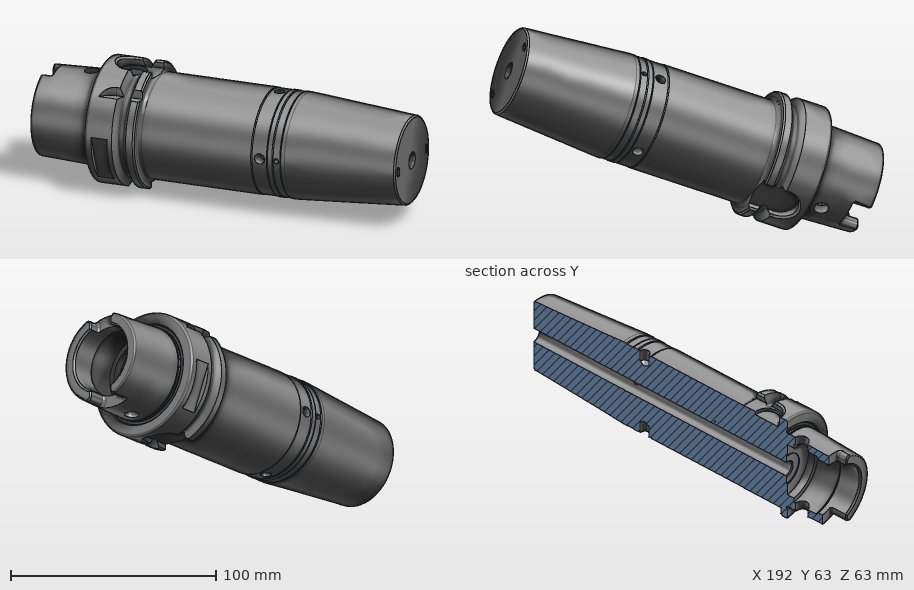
import cadquery as cq
import math


SHANK_LENGTH = 32.0
SHANK_TIP_RADIUS = 22.65
SHANK_BASE_RADIUS = 23.85
SHANK_TIP_FILLET = 0.8
RELIEF_WIDTH = 1.8
RELIEF_DEPTH = 0.4
RELIEF_BEVEL = 0.6

FLANGE_RADIUS = 31.5
FLANGE_WIDTH = 26.0
FLANGE_CHAMFER = 0.8
FACE_FILLET = 1.0
FACE_GROOVE_RADIUS = 25.8
FACE_GROOVE_DEPTH = 0.6
GROOVE_CENTRE = 18.0
GROOVE_FLOOR_RADIUS = 27.5
GROOVE_FLOOR_HALF_WIDTH = 1.4
GROOVE_WALL_ANGLE = 30.0
GROOVE_CORNER_RADIUS = 0.6

BODY_RADIUS = 26.5
BODY_FILLET = 2.0
FLANGE_END = FLANGE_WIDTH + BODY_FILLET
NOSE_START = 103.2
NOSE_RADIUS = 22.2
NOSE_CHAMFER = 0.8
TOTAL_END = 160.0
PAD_HEIGHT = 0.3
NOSE_END = TOTAL_END - PAD_HEIGHT
BANDS = ((85.5, 94.3), (96.6, 101.3))
BAND_DEPTH = 0.25
BAND_BEVEL = 0.6

MOUTH_RADIUS = 17.0
MOUTH_CHAMFER = 0.9
MOUTH_END = -19.3
CAVITY_RADIUS = 18.5
CAVITY_END = -4.0
SEAT_RADIUS = 15.9
SEAT_END = 0.0
RECESS_RADIUS = 9.0
RECESS_DEPTH = 0.5
BORE_RADIUS = 4.2
BORE_CHAMFER = 0.6

DRIVE_HALF_WIDTH = 6.25
DRIVE_ROUND_START = 18.4
DRIVE_ROUND_RADIUS = 2.6
DRIVE_CORNER_RADIUS = 1.2
DRIVE_MOUTH_CHAMFER = 0.7
TOP_DRIVE_DEPTH = 6.0
BOTTOM_DRIVE_DEPTH = 10.0

KEYWAY_FLOOR = 26.65
KEYWAY_CENTRE_X = 13.1
KEYWAY_CHAMFER = 1.1
TOP_KEYWAY_RADIUS = 7.9
BOTTOM_KEYWAY_RADIUS = 8.7
POCKET_RADIUS = 6.9
POCKET_DEPTH = 2.0

NOTCH_FLOOR = 20.0
NOTCH_CUTTER_RADIUS = 9.0
NOTCH_CENTRE_X = 12.4
FLAT_START = 3.5
FLAT_WIDTH = 8.4
FLAT_DISTANCE = 28.9
FLAT_ANGLE = 21.5

CROSS_HOLE_X = -8.8
CROSS_HOLE_RADIUS = 3.65
SCREW_HOLE_X = 90.1
SCREW_HOLE_RADIUS = 2.6
SCREW_HOLE_DEPTH = 7.0
DRILL_TIP_ANGLE = 59.0
VENT_X = 98.9
VENT_RADIUS = 1.25

PAD_OFFSET = 18.2
PAD_LENGTH = 4.6
PAD_WIDTH = 2.4

CLEARANCE = 10.0
ARC_INSET = 1 - math.sqrt(0.5)


def revolve_about_x(profile):
    return profile.close().revolve(360, (0, 0, 0), (1, 0, 0))


def turn_over(shape):
    return shape.rotate((0, 0, 0), (1, 0, 0), 180)


def shank():
    tip = -SHANK_LENGTH
    relief_radius = SHANK_BASE_RADIUS - RELIEF_DEPTH
    arc_x = tip + SHANK_TIP_FILLET * ARC_INSET
    arc_radius = SHANK_TIP_RADIUS - SHANK_TIP_FILLET * ARC_INSET
    profile = (
        cq.Workplane("XY")
        .moveTo(tip, 0)
        .lineTo(tip, SHANK_TIP_RADIUS - SHANK_TIP_FILLET)
        .threePointArc((arc_x, arc_radius), (tip + SHANK_TIP_FILLET, SHANK_TIP_RADIUS))
        .lineTo(-RELIEF_WIDTH, SHANK_BASE_RADIUS)
        .lineTo(-RELIEF_WIDTH + RELIEF_BEVEL, relief_radius)
        .lineTo(-RELIEF_BEVEL, relief_radius)
        .lineTo(0, SHANK_BASE_RADIUS)
        .lineTo(0, 0)
    )
    return revolve_about_x(profile)


def keyway(radius):
    """Round-ended keyway, open towards +X."""
    length = FLANGE_END
    plane = cq.Workplane("XY", origin=(KEYWAY_CENTRE_X, 0, KEYWAY_FLOOR))
    straight = plane.rect(length, 2 * radius).extrude(FLANGE_RADIUS).translate((length / 2, 0, 0))
    return plane.circle(radius).extrude(FLANGE_RADIUS).union(straight)


def keyway_rim(radius):
    """Selector for the long keyway edges on the flange diameter."""
    return cq.selectors.BoxSelector(
        (FACE_FILLET, -radius - 1, KEYWAY_FLOOR + 1),
        (FLANGE_END - 1, radius + 1, FLANGE_RADIUS + 1),
    )


def v_groove():
    spread = math.tan(math.radians(GROOVE_WALL_ANGLE))
    outer_radius = FLANGE_RADIUS + CLEARANCE
    outer_half_width = GROOVE_FLOOR_HALF_WIDTH + (outer_radius - GROOVE_FLOOR_RADIUS) * spread
    profile = (
        cq.Workplane("XY")
        .moveTo(GROOVE_CENTRE - GROOVE_FLOOR_HALF_WIDTH, GROOVE_FLOOR_RADIUS)
        .lineTo(GROOVE_CENTRE + GROOVE_FLOOR_HALF_WIDTH, GROOVE_FLOOR_RADIUS)
        .lineTo(GROOVE_CENTRE + outer_half_width, outer_radius)
        .lineTo(GROOVE_CENTRE - outer_half_width, outer_radius)
    )
    floor_box = cq.selectors.BoxSelector(
        (0, -GROOVE_FLOOR_RADIUS - 1, -GROOVE_FLOOR_RADIUS - 1),
        (FLANGE_WIDTH, GROOVE_FLOOR_RADIUS + 1, GROOVE_FLOOR_RADIUS + 1),
        boundingbox=True,
    )
    return revolve_about_x(profile).edges(floor_box).edges("%CIRCLE").fillet(GROOVE_CORNER_RADIUS)


def flange_back_waste():
    """Ring of stock outside the chamfered back of the flange and its fillet into the body."""
    arc_offset = BODY_FILLET * ARC_INSET
    outer_radius = FLANGE_RADIUS + CLEARANCE
    profile = (
        cq.Workplane("XY")
        .moveTo(FLANGE_WIDTH - FLANGE_CHAMFER - CLEARANCE, outer_radius)
        .lineTo(FLANGE_WIDTH, FLANGE_RADIUS - FLANGE_CHAMFER)
        .lineTo(FLANGE_WIDTH, BODY_RADIUS + BODY_FILLET)
        .threePointArc(
            (FLANGE_WIDTH + arc_offset, BODY_RADIUS + arc_offset),
            (FLANGE_END, BODY_RADIUS),
        )
        .lineTo(FLANGE_END, outer_radius)
    )
    return revolve_about_x(profile)


def half_flange(keyway_radius):
    """Upper half of the flange: its keyway is milled, then the groove and the back are turned away."""
    disc = cq.Workplane("YZ").circle(FLANGE_RADIUS).extrude(FLANGE_END)
    disc = disc.faces("<X").edges().fillet(FACE_FILLET)
    milled = disc.cut(keyway(keyway_radius)).edges(keyway_rim(keyway_radius)).chamfer(KEYWAY_CHAMFER)
    turned = milled.cut(v_groove()).cut(flange_back_waste())
    upper_space = cq.Workplane("XY").circle(2 * FLANGE_RADIUS).extrude(2 * FLANGE_RADIUS)
    return turned.intersect(upper_space)


def flange():
    lower_half = turn_over(half_flange(BOTTOM_KEYWAY_RADIUS))
    return half_flange(TOP_KEYWAY_RADIUS).union(lower_half)


def body():
    band_radius = BODY_RADIUS - BAND_DEPTH
    profile = cq.Workplane("XY").moveTo(FLANGE_END, 0).lineTo(FLANGE_END, BODY_RADIUS)
    for start, end in BANDS:
        profile = (
            profile.lineTo(start, BODY_RADIUS)
            .lineTo(start + BAND_BEVEL, band_radius)
            .lineTo(end - BAND_BEVEL, band_radius)
            .lineTo(end, BODY_RADIUS)
        )
    profile = (
        profile.lineTo(NOSE_START, BODY_RADIUS)
        .lineTo(NOSE_END - NOSE_CHAMFER, NOSE_RADIUS)
        .lineTo(NOSE_END, NOSE_RADIUS - NOSE_CHAMFER)
        .lineTo(NOSE_END, 0)
    )
    return revolve_about_x(profile)


def nose_pads():
    return (
        cq.Workplane("YZ", origin=(NOSE_END, 0, 0))
        .pushPoints([(PAD_OFFSET, 0), (-PAD_OFFSET, 0)])
        .slot2D(PAD_LENGTH, PAD_WIDTH, 90)
        .extrude(PAD_HEIGHT)
    )


def face_groove():
    """Ring groove with a sloping outer wall, cut into the flange face around the shank."""
    profile = (
        cq.Workplane("XY")
        .moveTo(0, SHANK_BASE_RADIUS)
        .lineTo(0, FACE_GROOVE_RADIUS)
        .lineTo(FACE_GROOVE_DEPTH, FACE_GROOVE_RADIUS - FACE_GROOVE_DEPTH)
        .lineTo(FACE_GROOVE_DEPTH, SHANK_BASE_RADIUS)
    )
    return revolve_about_x(profile)


def axial_bores():
    mouth = -SHANK_LENGTH
    cavity_slope = CAVITY_RADIUS - MOUTH_RADIUS
    recess_floor = SEAT_END + RECESS_DEPTH
    profile = (
        cq.Workplane("XY")
        .moveTo(mouth, 0)
        .lineTo(mouth, MOUTH_RADIUS + MOUTH_CHAMFER)
        .lineTo(mouth + MOUTH_CHAMFER, MOUTH_RADIUS)
        .lineTo(MOUTH_END, MOUTH_RADIUS)
        .lineTo(MOUTH_END + cavity_slope, CAVITY_RADIUS)
        .lineTo(CAVITY_END, CAVITY_RADIUS)
        .lineTo(CAVITY_END, SEAT_RADIUS)
        .lineTo(SEAT_END, SEAT_RADIUS)
        .lineTo(SEAT_END, RECESS_RADIUS)
        .lineTo(recess_floor, RECESS_RADIUS)
        .lineTo(recess_floor, BORE_RADIUS + BORE_CHAMFER)
        .lineTo(recess_floor + BORE_CHAMFER, BORE_RADIUS)
        .lineTo(TOTAL_END, BORE_RADIUS)
        .lineTo(TOTAL_END, 0)
    )
    return revolve_about_x(profile)


def drive_outline(x, grow):
    """Slot cross-section at x, widened by grow, its outer edges rounded over."""
    half_width = DRIVE_HALF_WIDTH + grow
    radius = DRIVE_ROUND_RADIUS - grow
    round_end = DRIVE_HALF_WIDTH + DRIVE_ROUND_RADIUS
    round_top = DRIVE_ROUND_START + radius
    middle_y = half_width + radius * ARC_INSET
    middle_z = round_top - radius * ARC_INSET
    outer_y = round_end + CLEARANCE
    outer_z = SHANK_BASE_RADIUS + CLEARANCE
    return (
        cq.Workplane("YZ", origin=(x, 0, 0))
        .moveTo(-half_width, BORE_RADIUS)
        .lineTo(half_width, BORE_RADIUS)
        .lineTo(half_width, DRIVE_ROUND_START)
        .threePointArc((middle_y, middle_z), (round_end, round_top))
        .lineTo(outer_y, round_top)
        .lineTo(outer_y, outer_z)
        .lineTo(-outer_y, outer_z)
        .lineTo(-outer_y, round_top)
        .lineTo(-round_end, round_top)
        .threePointArc((-middle_y, middle_z), (-half_width, DRIVE_ROUND_START))
        .close()
    )


def drive_slot(depth):
    mouth = -SHANK_LENGTH
    slot = drive_outline(mouth, 0).extrude(depth).faces(">X").edges().fillet(DRIVE_CORNER_RADIUS)
    wide_end = drive_outline(mouth, DRIVE_MOUTH_CHAMFER).wires().val()
    narrow_end = drive_outline(mouth + DRIVE_MOUTH_CHAMFER, 0).wires().val()
    return slot.union(cq.Workplane(cq.Solid.makeLoft([wide_end, narrow_end], True)))


def keyway_pocket():
    return (
        cq.Workplane("XY", origin=(KEYWAY_CENTRE_X, 0, KEYWAY_FLOOR - POCKET_DEPTH))
        .circle(POCKET_RADIUS)
        .extrude(FLANGE_RADIUS)
    )


def orientation_notch():
    centre_y = -NOTCH_FLOOR - NOTCH_CUTTER_RADIUS
    length = FLANGE_WIDTH + CLEARANCE - NOTCH_CENTRE_X
    plane = cq.Workplane("XY", origin=(NOTCH_CENTRE_X, centre_y, NOTCH_FLOOR))
    round_end = plane.circle(NOTCH_CUTTER_RADIUS).extrude(FLANGE_RADIUS)
    run = plane.rect(length, 2 * NOTCH_CUTTER_RADIUS).extrude(FLANGE_RADIUS)
    return round_end.union(run.translate((length / 2, 0, 0)))


def flange_flat():
    block = cq.Workplane("XY").box(FLAT_WIDTH, CLEARANCE, 2 * FLANGE_RADIUS, centered=(False, False, True))
    block = block.translate((FLAT_START, -FLAT_DISTANCE - CLEARANCE, 0))
    return block.rotate((0, 0, 0), (1, 0, 0), FLAT_ANGLE)


def screw_hole(angle):
    """Blind drilled hole with a conical bottom, turned about the axis by angle."""
    floor = BODY_RADIUS - SCREW_HOLE_DEPTH
    tip = floor - SCREW_HOLE_RADIUS / math.tan(math.radians(DRILL_TIP_ANGLE))
    hole = (
        cq.Workplane("XZ")
        .moveTo(0, tip)
        .lineTo(SCREW_HOLE_RADIUS, floor)
        .lineTo(SCREW_HOLE_RADIUS, FLANGE_RADIUS)
        .lineTo(0, FLANGE_RADIUS)
        .close()
        .revolve(360, (0, 0, 0), (0, 1, 0))
        .translate((SCREW_HOLE_X, 0, 0))
    )
    return hole.rotate((0, 0, 0), (1, 0, 0), angle)


def cross_hole():
    plane = cq.Workplane("XY", origin=(CROSS_HOLE_X, 0, 0))
    return plane.circle(CROSS_HOLE_RADIUS).extrude(FLANGE_RADIUS, both=True)


def vent_hole():
    plane = cq.Workplane("XZ", origin=(VENT_X, 0, 0))
    return plane.circle(VENT_RADIUS).extrude(FLANGE_RADIUS, both=True)


holder = shank().union(flange()).union(body()).union(nose_pads())

cutters = [
    face_groove(),
    axial_bores(),
    drive_slot(TOP_DRIVE_DEPTH),
    turn_over(drive_slot(BOTTOM_DRIVE_DEPTH)),
    keyway_pocket(),
    orientation_notch(),
    flange_flat(),
    cross_hole(),
    vent_hole(),
]
for angle in range(0, 360, 90):
    cutters.append(screw_hole(angle))

for cutter in cutters:
    holder = holder.cut(cutter)

result = holder